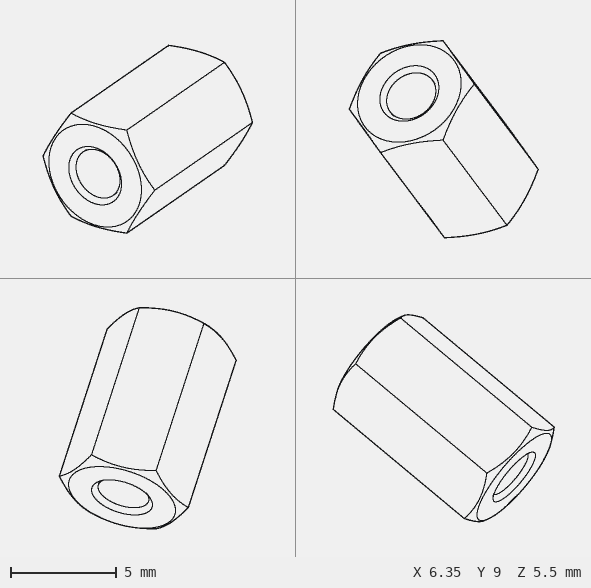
import cadquery as cq
import math

length = 9.0
across_flats = 5.5
across_corners = across_flats / math.cos(math.radians(30))

face_diameter = 5.265
corner_chamfer_angle = 30.0
chamfer_length = (across_corners - face_diameter) / 2 * math.tan(math.radians(corner_chamfer_angle))

bore_diameter = 2.5
countersink_diameter = 3.0
countersink_depth = (countersink_diameter - bore_diameter) / 2


def revolve_about_y(half_profile):
    """Solid of revolution about Y from (radius, y) points."""
    return cq.Workplane("XY").polyline(half_profile).close().revolve(360, (0, 0, 0), (0, 1, 0))


def chamfer_envelope():
    """Round bar with conical ends, touching the hexagon at its corners."""
    end = length / 2
    shoulder = end - chamfer_length
    face_radius = face_diameter / 2
    corner_radius = across_corners / 2
    return revolve_about_y([
        (0, -end),
        (face_radius, -end),
        (corner_radius, -shoulder),
        (corner_radius, shoulder),
        (face_radius, end),
        (0, end),
    ])


def countersunk_bore():
    """Material removed by the bore and its two countersinks."""
    end = length / 2
    bore_end = end - countersink_depth
    bore_radius = bore_diameter / 2
    countersink_radius = countersink_diameter / 2
    return revolve_about_y([
        (0, -end),
        (countersink_radius, -end),
        (bore_radius, -bore_end),
        (bore_radius, bore_end),
        (countersink_radius, end),
        (0, end),
    ])


hexagon = cq.Workplane("XZ").polygon(6, across_corners).extrude(length / 2, both=True)
result = hexagon.intersect(chamfer_envelope()).cut(countersunk_bore())